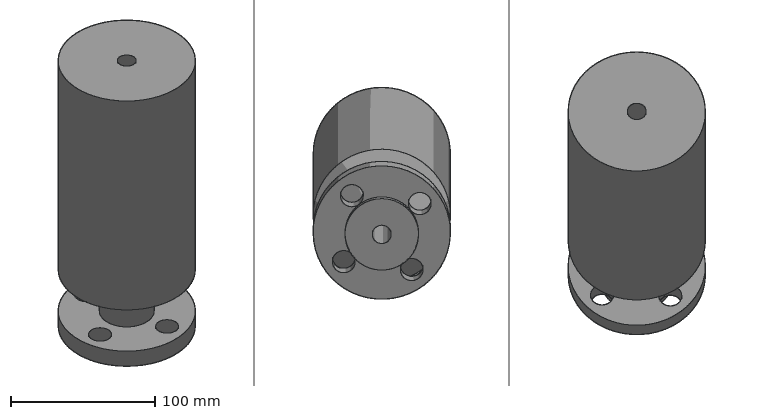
import cadquery as cq

total_height = 232.5
body_diameter = 95.1

spigot_height = 5.1
flange_thickness = 13.0
neck_height = 18.8
cone_height = 16.5

spigot_diameter = 51.0
flange_diameter = body_diameter
neck_diameter = 38.1
bore_diameter = 13.0

bolt_hole_count = 4
bolt_hole_diameter = 15.8
bolt_circle_radius = 33.5

flange_bottom = spigot_height
flange_top = flange_bottom + flange_thickness
neck_top = flange_top + neck_height
cone_top = neck_top + cone_height


def turned_profile():
    """Revolve the stepped half outline, in radius and height, about the Z axis."""
    outline = [
        (0, 0),
        (spigot_diameter / 2, 0),
        (spigot_diameter / 2, flange_bottom),
        (flange_diameter / 2, flange_bottom),
        (flange_diameter / 2, flange_top),
        (neck_diameter / 2, flange_top),
        (neck_diameter / 2, neck_top),
        (body_diameter / 2, cone_top),
        (body_diameter / 2, total_height),
        (0, total_height),
    ]
    return cq.Workplane("XZ").polyline(outline).close().revolve(360, (0, 0), (0, 1))


def center_bore():
    """Axial hole through the full height."""
    return cq.Workplane("XY").circle(bore_diameter / 2).extrude(total_height)


def bolt_holes():
    """Holes through the flange, on the X and Y axes."""
    return (
        cq.Workplane("XY")
        .workplane(offset=flange_bottom)
        .polarArray(bolt_circle_radius, 0, 360, bolt_hole_count)
        .circle(bolt_hole_diameter / 2)
        .extrude(flange_thickness)
    )


result = turned_profile().cut(center_bore()).cut(bolt_holes())